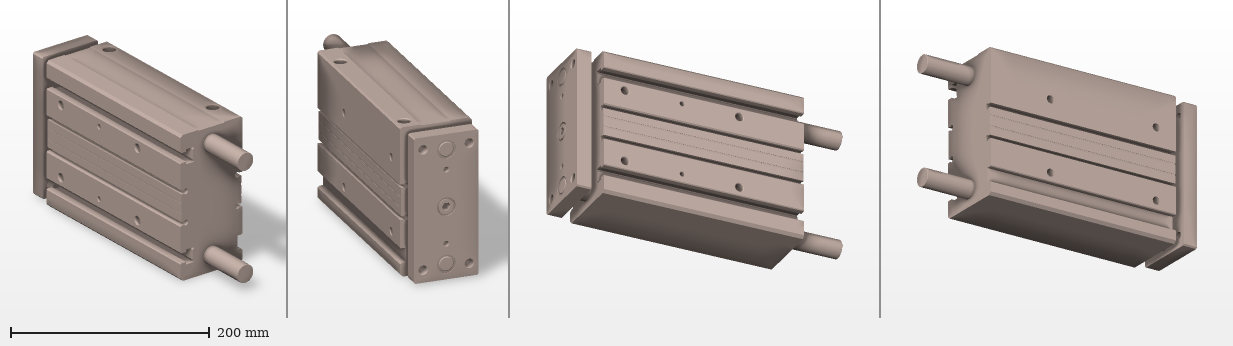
import cadquery as cq
import math


overall_length = 309.0
plate_thickness = 16.0
housing_start = 28.0
housing_length = 224.0
housing_width = 78.0
housing_height = 162.0
side_y = housing_width / 2
top_z = housing_height / 2

guide_rod_diameter = 20.0
guide_rod_offset = 62.0
piston_rod_diameter = 16.0
piston_rod_insertion = 31.0
rod_free_end_chamfer = 0.3
boss_diameter = 20.0
boss_height = 1.0

plate_width = 70.0
plate_height = 157.5
plate_edge_chamfer = 1.5
piston_ring_diameter = 20.0
piston_ring_depth = 1.5
guide_rod_tip_diameter = piston_rod_diameter
guide_rod_tip_height = 1.0
guide_rod_tip_chamfer = 0.85
piston_socket_flats = 8.0
piston_socket_depth = 6.2

screw_hole_diameter = 8.5
screw_hole_mouth = 10.2
pin_hole_diameter = 5.0
pin_hole_mouth = 6.2
pin_hole_depth = 8.0
drill_tip_angle = 118.0
plate_screw_y = 25.0
plate_screw_z = 65.2
hole_row_z = 40.2
side_screw_x = (52.0, 179.8)
side_pin_x = sum(side_screw_x) / 2

top_front_chamfer = 2.8
top_back_chamfer = 2.0
bottom_chamfer = 3.0
top_recess_width = 31.5
top_recess_slope = 0.5
top_recess_depth = 1.0

t_slot_z = 55.5
t_slot_mouth = 11.0
t_slot_inner_width = 16.7
t_slot_lip = 7.0
t_slot_depth = 17.0
t_slot_ridge_height = 1.5
t_slot_ridge_base = 14.2
t_slot_ridge_top = t_slot_mouth
slot_edge_chamfer = 1.0
back_slot_depth = 6.2
back_slot_lower_z = -65.5
back_slot_lower_chamfer = 1.5

sensor_groove_z = 17.3
sensor_mouth = 4.0
sensor_edge_chamfer = 1.2
sensor_bore_diameter = 6.2
sensor_bore_depth = 6.5
band_recess_depth = 1.2
band_line_z = 6.0
band_line_width = 2.0
band_line_depth = 0.3

port_x = (44.2, 217.0)
port_y = 28.0
port_diameter = 13.0
port_mouth = 14.8
port_depth = 10.8
port_passage_diameter = 5.0
port_passage_length = 12.5


def x_cylinder(diameter, start_x, end_x, z=0.0):
    """Cylinder along X between two X positions."""
    return (
        cq.Workplane("YZ", origin=(start_x, 0, z))
        .circle(diameter / 2)
        .extrude(end_x - start_x)
    )


def drilled_hole(point, direction, diameter, mouth_diameter, depth):
    """Cutter for a hole with a 45 degree chamfered mouth and a conical bottom."""
    radius = diameter / 2
    mouth_radius = mouth_diameter / 2
    tip = radius / math.tan(math.radians(drill_tip_angle / 2))
    half_section = (
        cq.Workplane("XZ")
        .moveTo(0, 0)
        .lineTo(mouth_radius, 0)
        .lineTo(radius, radius - mouth_radius)
        .lineTo(radius, -depth)
        .lineTo(0, -depth - tip)
        .close()
    )
    cutter = half_section.revolve(360, (0, 0, 0), (0, 1, 0)).val()
    plane = cq.Plane(origin=point, normal=tuple(-component for component in direction))
    return cq.Workplane(cutter.moved(cq.Location(plane)))


def housing_block():
    """Plain block with a chamfer on each of its four long edges."""
    outline = [
        (-side_y + bottom_chamfer, -top_z),
        (side_y - bottom_chamfer, -top_z),
        (side_y, -top_z + bottom_chamfer),
        (side_y, top_z - top_back_chamfer),
        (side_y - top_back_chamfer, top_z),
        (-side_y + top_front_chamfer, top_z),
        (-side_y, top_z - top_front_chamfer),
        (-side_y, -top_z + bottom_chamfer),
    ]
    return profile_along_housing(outline)


def profile_along_housing(points):
    """Closed (y, z) outline extruded over the whole housing length."""
    return (
        cq.Workplane("YZ", origin=(housing_start, 0, 0))
        .polyline(points)
        .close()
        .extrude(housing_length)
    )


def side_groove(side, surface_depth, z, width, depth):
    """Rectangular groove along X, cut from one side (-1 or +1) of the housing."""
    return (
        cq.Workplane("XY")
        .box(housing_length, depth - surface_depth, width, centered=(False, True, True))
        .translate((housing_start, side * (side_y - (surface_depth + depth) / 2), z))
    )


def t_slot(z):
    """T-slot on the -Y side with chamfered lips and a flat-topped ridge along its back wall."""
    half_mouth = t_slot_mouth / 2
    half_inner = t_slot_inner_width / 2
    upper_half = [
        (-side_y, half_mouth + slot_edge_chamfer),
        (-side_y + slot_edge_chamfer, half_mouth),
        (-side_y + t_slot_lip, half_mouth),
        (-side_y + t_slot_lip, half_inner),
        (-side_y + t_slot_depth, half_inner),
        (-side_y + t_slot_depth, t_slot_ridge_base / 2),
        (-side_y + t_slot_depth - t_slot_ridge_height, t_slot_ridge_top / 2),
    ]
    lower_half = [(y, -height) for y, height in reversed(upper_half)]
    return profile_along_housing(upper_half + lower_half).translate((0, 0, z))


def back_slot():
    """Shallow slot low on the +Y side; its mouth widens by chamfers."""
    upper_z = -t_slot_z + t_slot_mouth / 2
    return profile_along_housing([
        (side_y - back_slot_depth, upper_z),
        (side_y - slot_edge_chamfer, upper_z),
        (side_y, upper_z + slot_edge_chamfer),
        (side_y, back_slot_lower_z - back_slot_lower_chamfer),
        (side_y - 2 * back_slot_lower_chamfer, back_slot_lower_z),
        (side_y - back_slot_depth, back_slot_lower_z),
    ])


def sensor_groove(side, z):
    """Narrow mouth that opens into a round channel."""
    mouth = side_groove(side, 0, z, sensor_mouth, sensor_bore_depth)
    channel = (
        x_cylinder(sensor_bore_diameter, housing_start, housing_start + housing_length)
        .translate((0, side * (side_y - sensor_bore_depth), z))
    )
    return mouth.union(channel)


def sensor_mouth_chamfer(z):
    """Bevel on the edge between a -Y sensor groove and the flat face outside it."""
    outward = math.copysign(1, z)
    edge_z = z + outward * sensor_mouth / 2
    return profile_along_housing([
        (-side_y, edge_z),
        (-side_y + sensor_edge_chamfer, edge_z),
        (-side_y, edge_z + outward * sensor_edge_chamfer),
    ])


def cut_side_profile(body):
    """Slots, sensor grooves and the lowered centre band on both sides."""
    band_width = 2 * sensor_groove_z
    for side in (-1, 1):
        body = body.cut(side_groove(side, 0, 0, band_width, band_recess_depth))
        for z in (-sensor_groove_z, sensor_groove_z):
            body = body.cut(sensor_groove(side, z))
        line_bottom = band_recess_depth + band_line_depth
        for z in (-band_line_z, band_line_z):
            body = body.cut(side_groove(side, band_recess_depth, z, band_line_width, line_bottom))
    for z in (-sensor_groove_z, sensor_groove_z):
        body = body.cut(sensor_mouth_chamfer(z))
    for z in (-t_slot_z, t_slot_z):
        body = body.cut(t_slot(z))
    return body.cut(back_slot())


def cut_top_recess(body):
    """Wide, shallow recess with slightly sloping sides along the top."""
    floor_y = top_recess_width / 2
    rim_y = floor_y + top_recess_slope
    floor_z = top_z - top_recess_depth
    return body.cut(profile_along_housing([
        (-rim_y, top_z),
        (-floor_y, floor_z),
        (floor_y, floor_z),
        (rim_y, top_z),
    ]))


def cut_side_holes(body):
    """Through screw holes and blind pin holes along Y."""
    for z in (-hole_row_z, hole_row_z):
        for x in side_screw_x:
            body = body.cut(drilled_hole(
                (x, -side_y, z), (0, 1, 0), screw_hole_diameter, screw_hole_mouth, housing_width
            ))
        body = body.cut(drilled_hole(
            (side_pin_x, -side_y, z), (0, 1, 0), pin_hole_diameter, pin_hole_mouth, pin_hole_depth
        ))
    return body


def cut_ports(body):
    """Two air ports on top, each with a narrow passage below its conical bottom."""
    for x in port_x:
        body = body.cut(drilled_hole(
            (x, port_y, top_z), (0, 0, -1), port_diameter, port_mouth, port_depth
        ))
        passage = (
            cq.Workplane("XY", origin=(x, port_y, top_z - port_depth))
            .circle(port_passage_diameter / 2)
            .extrude(-port_passage_length)
        )
        body = body.cut(passage)
    return body


def make_housing():
    body = cut_side_profile(housing_block())
    body = cut_top_recess(body)
    body = cut_side_holes(body)
    body = cut_ports(body)
    body = body.union(x_cylinder(boss_diameter, housing_start - boss_height, housing_start))
    for z in (-guide_rod_offset, guide_rod_offset):
        body = body.cut(x_cylinder(
            guide_rod_diameter, housing_start, housing_start + housing_length, z
        ))
    return body.cut(x_cylinder(
        piston_rod_diameter, housing_start - boss_height, housing_start + piston_rod_insertion
    ))


def make_plate():
    plate = (
        cq.Workplane("XY")
        .box(plate_thickness, plate_width, plate_height, centered=(False, True, True))
        .edges("|X")
        .chamfer(plate_edge_chamfer)
    )
    for z in (-guide_rod_offset, guide_rod_offset):
        plate = plate.cut(x_cylinder(guide_rod_diameter, 0, plate_thickness, z))
    plate = plate.cut(x_cylinder(piston_rod_diameter, 0, plate_thickness))
    plate = plate.cut(x_cylinder(piston_ring_diameter, 0, piston_ring_depth))
    for z in (-plate_screw_z, plate_screw_z):
        for y in (-plate_screw_y, plate_screw_y):
            plate = plate.cut(drilled_hole(
                (0, y, z), (1, 0, 0), screw_hole_diameter, screw_hole_mouth, plate_thickness
            ))
    for z in (-hole_row_z, hole_row_z):
        plate = plate.cut(drilled_hole(
            (0, 0, z), (1, 0, 0), pin_hole_diameter, pin_hole_mouth, pin_hole_depth
        ))
    return plate


def make_guide_rod(z):
    """Rod whose end in the plate has a low, chamfered tip that leaves a shallow ring."""
    shaft = (
        x_cylinder(guide_rod_diameter, guide_rod_tip_height, overall_length, z)
        .faces(">X")
        .chamfer(rod_free_end_chamfer)
    )
    tip = (
        x_cylinder(guide_rod_tip_diameter, 0, guide_rod_tip_height, z)
        .faces("<X")
        .chamfer(guide_rod_tip_chamfer)
    )
    return shaft.union(tip)


def make_piston_rod():
    """Rod with a hexagon socket in its outer end, ending inside the housing."""
    rod = x_cylinder(piston_rod_diameter, 0, housing_start + piston_rod_insertion)
    corner_diameter = piston_socket_flats / math.cos(math.radians(30))
    socket = cq.Workplane("YZ").polygon(6, corner_diameter).extrude(piston_socket_depth)
    return rod.cut(socket)


housing = make_housing()
plate = make_plate()
piston_rod = make_piston_rod()
guide_rods = [make_guide_rod(z) for z in (-guide_rod_offset, guide_rod_offset)]

result = cq.Compound.makeCompound(
    [housing.val(), plate.val(), piston_rod.val()] + [rod.val() for rod in guide_rods]
)